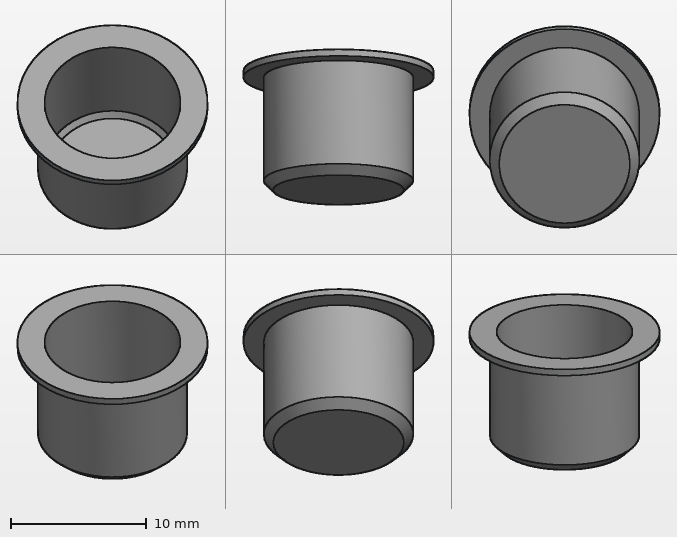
import cadquery as cq
import math

flange_diameter = 14.0
body_diameter = 11.0
bore_diameter = 10.0
total_height = 9.0
outer_chamfer = 0.7

wall = (body_diameter - bore_diameter) / 2
inner_chamfer = outer_chamfer - wall * (2 - math.sqrt(2))


def make_body():
    """Solid cylinder with a chamfered lower edge."""
    cylinder = cq.Workplane("XY").circle(body_diameter / 2).extrude(total_height)
    return cylinder.faces("<Z").edges().chamfer(outer_chamfer)


def make_flange():
    """Thin disc flush with the open end of the cup."""
    flange_base = cq.Workplane("XY").workplane(offset=total_height - wall)
    return flange_base.circle(flange_diameter / 2).extrude(wall)


def make_cavity():
    """Blind bore whose lower edge follows the outer chamfer."""
    floor = cq.Workplane("XY").workplane(offset=wall)
    bore = floor.circle(bore_diameter / 2).extrude(total_height - wall)
    return bore.faces("<Z").edges().chamfer(inner_chamfer)


result = make_body().union(make_flange()).cut(make_cavity())